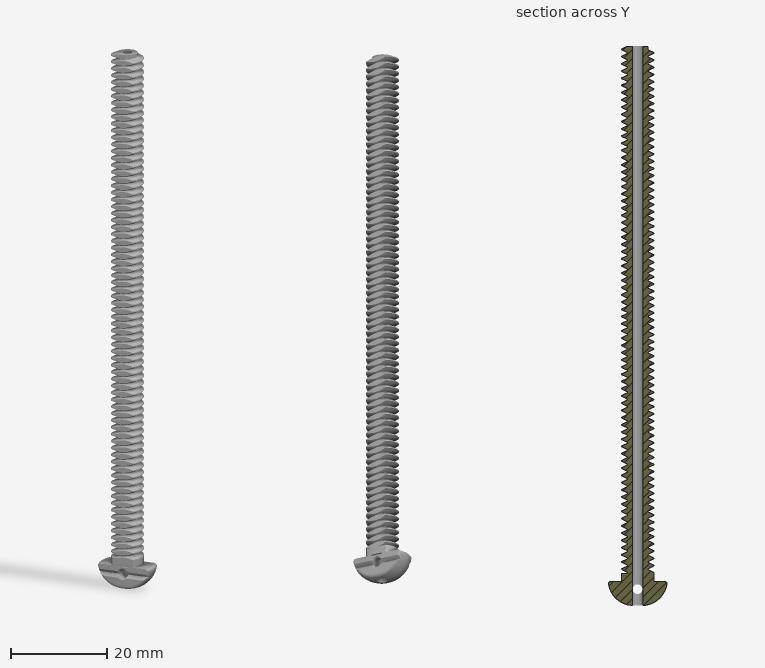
import cadquery as cq
import math

total_height = 116.23
head_width = 12.2
thickness = 5.0
half_width = head_width / 2
half_thickness = thickness / 2

head_height = 5.1
head_side_radius = 5.4
head_end_height = 0.7
head_rim_fillet = 0.5
head_edge_fillet = 0.6

groove_depth = 0.7
groove_z = 3.25

crest_radius = 3.4
collar_top = 6.75

thread_pitch = 1.5
root_radius = 2.15
crest_width = 0.2
ridge_base_width = 1.4
thread_start_z = 4.985
threaded_half_turns = 148
plain_half_turns = 2

hole_radius = 1.0
cross_hole_z = 3.4
countersink_radius = 1.25

slot_width = 2.6
slot_height = 0.3
slot_depth = 0.5
slot_z = 5.05


def make_head():
    """Dome turned about Z, cut to two flats, with a V groove along both flats."""
    shoulder_z = head_height - head_end_height
    bottom_radius = half_width - math.sqrt(head_side_radius**2 - (head_side_radius - shoulder_z) ** 2)
    diagonal = head_side_radius * math.sin(math.pi / 4)
    rim_diagonal = head_rim_fillet * math.sin(math.pi / 4)
    rim_center_x = half_width - head_rim_fillet
    rim_center_z = head_height - head_rim_fillet
    dome = (
        cq.Workplane("XZ")
        .lineTo(bottom_radius, 0)
        .threePointArc(
            (bottom_radius + diagonal, head_side_radius - diagonal), (half_width, shoulder_z)
        )
        .lineTo(half_width, rim_center_z)
        .threePointArc(
            (rim_center_x + rim_diagonal, rim_center_z + rim_diagonal), (rim_center_x, head_height)
        )
        .lineTo(0, head_height)
        .close()
        .revolve()
    )
    flats = cq.Workplane().box(head_width, thickness, 2 * head_height)
    head = dome.intersect(flats)
    lower_edges = cq.selectors.BoxSelector(
        (-head_width, -thickness, -head_height), (head_width, thickness, groove_z)
    )
    head = head.faces("<Y or >Y").edges(lower_edges).fillet(head_edge_fillet)
    for side in (-1, 1):
        groove = (
            cq.Workplane("YZ")
            .moveTo(side * half_thickness, groove_z - groove_depth)
            .lineTo(side * (half_thickness - groove_depth), groove_z)
            .lineTo(side * half_thickness, groove_z + groove_depth)
            .close()
            .extrude(half_width, both=True)
        )
        head = head.cut(groove)
    return head


def make_collar():
    """Round collar with two flats, reaching down to the groove."""
    bottom = groove_z + groove_depth
    height = collar_top - bottom
    plane = cq.Workplane(origin=(0, 0, bottom))
    flats = plane.rect(head_width, thickness).extrude(height)
    return plane.circle(crest_radius).extrude(height).intersect(flats)


def make_half_turn(with_ridge):
    """Half a turn of hollow rod with flats, running from -Y round +X to +Y."""
    ridge = [
        (root_radius, -ridge_base_width / 2),
        (crest_radius, -crest_width / 2),
        (crest_radius, crest_width / 2),
        (root_radius, ridge_base_width / 2),
    ]
    section = [(hole_radius, -thread_pitch / 2), (root_radius, -thread_pitch / 2)]
    if with_ridge:
        section += ridge
    section += [(root_radius, thread_pitch / 2), (hole_radius, thread_pitch / 2)]

    rise = thread_pitch / 2
    helices = []
    for radius, dz in section:
        helix = cq.Wire.makeHelix(thread_pitch, rise, radius)
        helices.append(helix.translate(cq.Vector(0, 0, dz)))
    faces = []
    for index, helix in enumerate(helices):
        faces.append(cq.Face.makeRuledSurface(helices[index - 1], helix))
    for side, end_z in ((1, 0), (-1, rise)):
        corners = [cq.Vector(side * radius, 0, end_z + dz) for radius, dz in section]
        faces.append(cq.Face.makeFromWires(cq.Wire.makePolygon(corners, close=True)))
    piece = cq.Solid.makeSolid(cq.Shell.makeShell(faces)).fix()
    piece = piece.rotate(cq.Vector(0, 0, 0), cq.Vector(0, 0, 1), -90)
    flats = cq.Workplane().box(head_width, thickness, 4 * thread_pitch).val()
    return piece.intersect(flats)


def screwed_up(shape, steps):
    """The shape moved along the thread helix by a number of half turns."""
    turned = shape.rotate(cq.Vector(0, 0, 0), cq.Vector(0, 0, 1), 180 * steps)
    return turned.translate(cq.Vector(0, 0, steps * thread_pitch / 2))


def stack_half_turns(piece, count):
    """Join copies of a half turn along the helix by repeated doubling."""
    if count == 1:
        return piece
    lower = stack_half_turns(piece, count // 2)
    stack = lower.fuse(screwed_up(lower, count // 2))
    if count % 2:
        stack = stack.fuse(screwed_up(piece, count - 1))
    return stack


def make_rod():
    """Threaded rod, plain past the end of the thread, cut square at the collar and at the top."""
    threaded = stack_half_turns(make_half_turn(True), threaded_half_turns)
    plain = stack_half_turns(make_half_turn(False), plain_half_turns)
    rod = threaded.fuse(screwed_up(plain, threaded_half_turns))
    rod = rod.translate(cq.Vector(0, 0, thread_start_z))
    length = cq.Workplane(origin=(0, 0, collar_top)).rect(head_width, head_width)
    return cq.Workplane(rod).intersect(length.extrude(total_height - collar_top))


def make_cross_hole():
    """Hole through the thickness, countersunk on both sides."""
    plane = cq.Workplane("XZ", origin=(0, 0, cross_hole_z))
    hole = plane.circle(hole_radius).extrude(half_thickness, both=True)
    sink_depth = countersink_radius - hole_radius
    for side in (-1, 1):
        cone = cq.Solid.makeCone(
            countersink_radius,
            hole_radius,
            sink_depth,
            cq.Vector(0, side * half_thickness, cross_hole_z),
            cq.Vector(0, -side, 0),
        )
        hole = hole.union(cq.Workplane(cone))
    return hole


def make_slots():
    """Shallow slots above the cross hole, one in each flat."""
    centers = [(0, -half_thickness), (0, half_thickness)]
    plane = cq.Workplane(origin=(0, 0, slot_z))
    return plane.pushPoints(centers).box(slot_width, 2 * slot_depth, slot_height)


base = make_head().union(make_collar())
bore = cq.Workplane().circle(hole_radius).extrude(collar_top)
base = base.cut(bore).cut(make_cross_hole()).cut(make_slots())
result = base.union(make_rod(), clean=False)